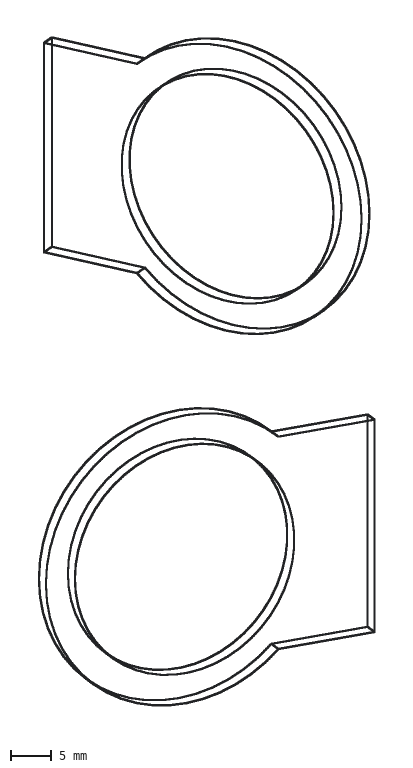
import cadquery as cq

length = 45.0
thickness = 2.0
ring_diameter = 38.0
hole_diameter = 30.0
tab_height = 28.0

tab_reach = length - ring_diameter / 2


def disc(diameter):
    """Round plate in the XZ plane, centred through its thickness."""
    return cq.Workplane("XZ", origin=(0, thickness / 2, 0)).circle(diameter / 2).extrude(thickness)


tab = cq.Workplane("XY").box(tab_reach, thickness, tab_height).translate((-tab_reach / 2, 0, 0))

result = disc(ring_diameter).union(tab).cut(disc(hole_diameter))